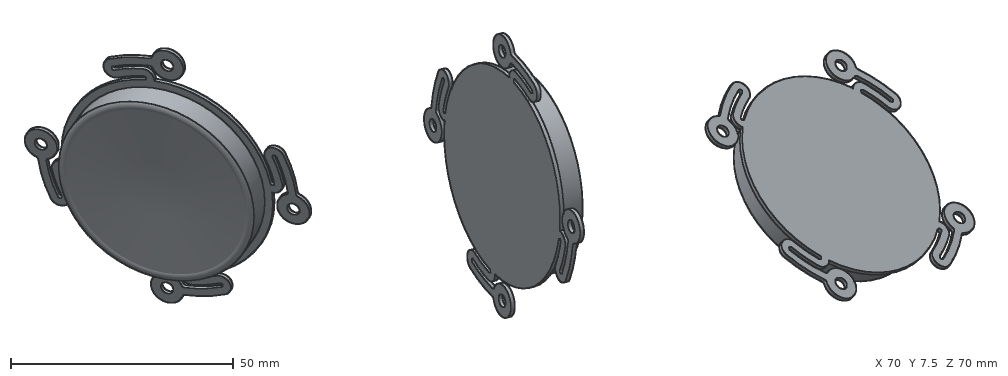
import cadquery as cq
import math

outer_radius = 35.0
total_depth = 7.5

plate_thickness = 1.05
flange_radius = 26.0
dish_radius = 48.0 / 2
face_radius = 22.05
rim_height = 0.4
rim_inner_drop = 0.15
rim_crest_radius = 22.75
recess_depth = 1.1

tab_count = 4
pad_radius = 4.0
hole_diameter = 3.0
pad_center_radius = outer_radius - pad_radius
gap = 1.0
arm_width = 2.0
root_angle = 12.4
tip_angle = 26.5
pad_angle = 0.0
neck_fillet = 0.7

inner_arm_inside = flange_radius + gap
inner_arm_outside = inner_arm_inside + arm_width
outer_arm_inside = inner_arm_outside + gap
outer_arm_outside = outer_arm_inside + arm_width
root_radius = flange_radius + gap / 2
tip_radius = (inner_arm_outside + outer_arm_inside) / 2


def polar(radius, angle):
    """Point at a radius and an angle in degrees, measured from +Z toward -X."""
    turn = math.radians(angle)
    return (-radius * math.sin(turn), radius * math.cos(turn))


def plate(outline):
    return outline.extrude(plate_thickness)


def disc(radius, center=(0, 0)):
    return plate(cq.Workplane("XZ").moveTo(*center).circle(radius))


def ring_sector(inside, outside, start, end):
    """Plate bounded by two concentric arcs and two radial sides."""
    middle = (start + end) / 2
    return plate(
        cq.Workplane("XZ")
        .moveTo(*polar(inside, start))
        .threePointArc(polar(inside, middle), polar(inside, end))
        .lineTo(*polar(outside, end))
        .threePointArc(polar(outside, middle), polar(outside, start))
        .close()
    )


def make_dish():
    """Round body with a rounded rim around a shallow conical recess."""
    rim_crest = (rim_crest_radius, -total_depth)
    rim_inner_edge = (face_radius, rim_inner_drop - total_depth)
    return (
        cq.Workplane("XY")
        .lineTo(dish_radius, 0)
        .lineTo(dish_radius, rim_height - total_depth)
        .threePointArc(rim_crest, rim_inner_edge)
        .lineTo(0, recess_depth - total_depth)
        .close()
        .revolve(360, (0, 0, 0), (0, 1, 0))
    )


def make_tab():
    """Pad on a folded arm: out along one arc, around the tip and back to the flange."""
    root = polar(root_radius, root_angle)
    tip = polar(tip_radius, tip_angle)
    pad_center = polar(pad_center_radius, pad_angle)

    root_end = disc(arm_width + gap / 2, root)
    root_end = root_end.cut(ring_sector(root_radius - pad_radius, outer_radius, root_angle, tip_angle))
    root_end = root_end.cut(disc(gap / 2, root))
    inner_arm = ring_sector(inner_arm_inside, inner_arm_outside, root_angle, tip_angle)

    tip_end = disc(arm_width + gap / 2, tip)
    tip_end = tip_end.cut(ring_sector(flange_radius, outer_radius, root_angle, tip_angle))
    tip_end = tip_end.cut(disc(gap / 2, tip))

    outer_arm = ring_sector(outer_arm_inside, outer_arm_outside, pad_angle, tip_angle)
    pad = disc(pad_radius, pad_center).union(outer_arm)
    neck_corners = cq.selectors.BoxSelector(
        (pad_center[0] - pad_radius - neck_fillet, -plate_thickness, inner_arm_outside),
        (pad_center[0] - pad_radius / 2, 0, outer_radius),
    )
    pad = pad.edges("|Y").edges(neck_corners).fillet(neck_fillet)
    hole = disc(hole_diameter / 2, pad_center)
    return pad.union(tip_end).union(inner_arm).union(root_end).cut(hole)


result = make_dish().union(disc(flange_radius))
tab = make_tab()
for index in range(tab_count):
    result = result.union(tab.rotate((0, 0, 0), (0, 1, 0), index * 360 / tab_count))